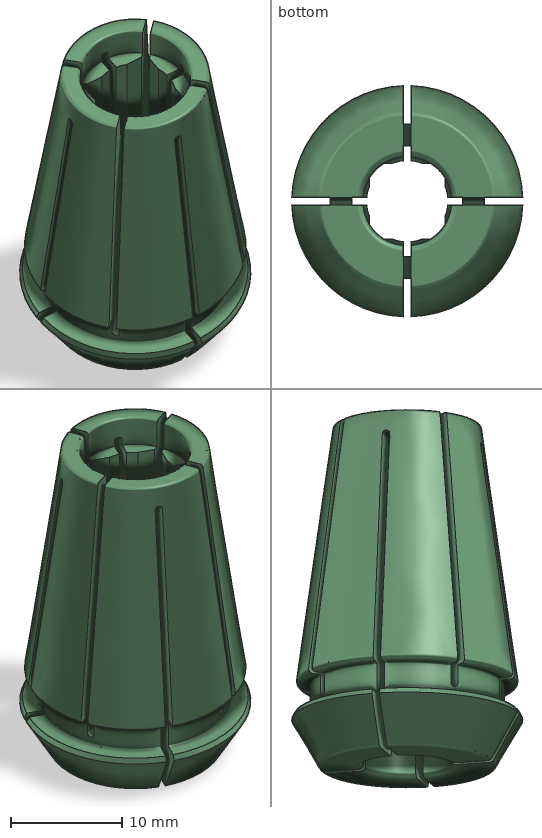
import cadquery as cq
import math

LENGTH = 31.5
COLLAR_RADIUS = 10.4
COLLAR_RIM_Z = 4.35
COLLAR_TOP_Z = 4.82
COLLAR_TOP_BREAK = 0.25
NOSE_ANGLE = 30.0
NOSE_EDGE_FILLET = 0.38
GROOVE_RADIUS = 8.73
GROOVE_FILLET = 0.15
TAPER_BASE_Z = 7.6
TAPER_BASE_RADIUS = 10.02
TAPER_ANGLE = 8.0
TAPER_BASE_FILLET = 0.38
TOP_EDGE_FILLET = 0.3

SHANK_RADIUS = 4.0
MOUTH_FILLET = 0.5
RECESS_RADIUS = 4.98
RECESS_FLOOR_Z = 28.65
RECESS_EDGE_FILLET = 0.28
SQUARE_SIDE = 6.8
SQUARE_RELIEF_RADIUS = 3.65
SQUARE_DEPTH = 7.88

SLOT_WIDTH = 0.7
NOSE_SLOT_TOP_Z = 29.55
TOP_SLOT_FLOOR_Z = 5.55
TOP_SLOT_SLOPE = 5.5
OVERCUT = 1.58


def turned_body():
    """Solid of revolution: nose cone, collar, groove and long taper."""
    nose_radius = COLLAR_RADIUS - COLLAR_RIM_Z * math.tan(math.radians(NOSE_ANGLE))
    top_radius = TAPER_BASE_RADIUS - (LENGTH - TAPER_BASE_Z) * math.tan(math.radians(TAPER_ANGLE))
    outline = [
        (0, 0),
        (nose_radius, 0),
        (COLLAR_RADIUS, COLLAR_RIM_Z),
        (COLLAR_RADIUS - COLLAR_TOP_BREAK, COLLAR_TOP_Z),
        (GROOVE_RADIUS, COLLAR_TOP_Z),
        (GROOVE_RADIUS, TAPER_BASE_Z),
        (TAPER_BASE_RADIUS, TAPER_BASE_Z),
        (top_radius, LENGTH),
        (0, LENGTH),
    ]
    body = cq.Workplane("XZ").polyline(outline).close().revolve(360, (0, 0), (0, 1))
    body = body.faces("<Z").edges().fillet(NOSE_EDGE_FILLET)
    body = body.faces(">Z").edges().fillet(TOP_EDGE_FILLET)
    taper_underside = cq.selectors.BoxSelector(
        (-COLLAR_RADIUS, -COLLAR_RADIUS, TAPER_BASE_Z - GROOVE_FILLET),
        (COLLAR_RADIUS, COLLAR_RADIUS, TAPER_BASE_Z + GROOVE_FILLET),
    )
    taper_rim = cq.selectors.RadiusNthSelector(-1)
    body = body.edges("%CIRCLE").edges(taper_underside).edges(taper_rim).fillet(TAPER_BASE_FILLET)
    groove_wall = body.faces("%CYLINDER")
    return groove_wall.edges("%CIRCLE").fillet(GROOVE_FILLET)


def cylinder(radius, bottom_z, top_z):
    return cq.Workplane("XY").workplane(offset=bottom_z).circle(radius).extrude(top_z - bottom_z)


def bore():
    """Round shank bore, square drive socket and top recess, as one cutter."""
    square_bottom_z = RECESS_FLOOR_Z - SQUARE_DEPTH
    square = (
        cq.Workplane("XY")
        .workplane(offset=square_bottom_z)
        .rect(SQUARE_SIDE, SQUARE_SIDE)
        .extrude(SQUARE_DEPTH)
    )
    relief = cylinder(SQUARE_RELIEF_RADIUS, square_bottom_z, RECESS_FLOOR_Z)
    shank = cylinder(SHANK_RADIUS, 0, square_bottom_z)
    recess = cylinder(RECESS_RADIUS, RECESS_FLOOR_Z, LENGTH)
    return shank.union(square).union(relief).union(recess)


def break_bore_edges(body):
    body = body.faces("<Z").edges(cq.selectors.RadiusNthSelector(0)).fillet(MOUTH_FILLET)
    return body.faces(">Z").edges(cq.selectors.RadiusNthSelector(0)).fillet(RECESS_EDGE_FILLET)


def half_slot(round_end_z, open_end_z, slope, angle):
    """Thin blade from the axis outward at the given angle, its inner end a half round.

    The round end lies at round_end_z at the groove wall and rises outward by slope.
    """
    half_width = SLOT_WIDTH / 2
    axis_end_z = round_end_z - GROOVE_RADIUS * math.tan(math.radians(slope))
    arc_start_z = axis_end_z + math.copysign(half_width, open_end_z - round_end_z)
    return (
        cq.Workplane("XZ")
        .moveTo(-half_width, open_end_z)
        .lineTo(-half_width, arc_start_z)
        .threePointArc((0, axis_end_z), (half_width, arc_start_z))
        .lineTo(half_width, open_end_z)
        .close()
        .extrude(-(COLLAR_RADIUS + OVERCUT))
        .rotate((0, 0, axis_end_z), (1, 0, axis_end_z), slope)
        .rotate((0, 0, 0), (0, 0, 1), angle)
    )


result = break_bore_edges(turned_body().cut(bore()))

for quarter in range(4):
    nose_slot_angle = 90 * quarter
    top_slot_angle = nose_slot_angle + 45
    result = result.cut(half_slot(NOSE_SLOT_TOP_Z, -OVERCUT, 0, nose_slot_angle))
    result = result.cut(half_slot(TOP_SLOT_FLOOR_Z, LENGTH + OVERCUT, TOP_SLOT_SLOPE, top_slot_angle))